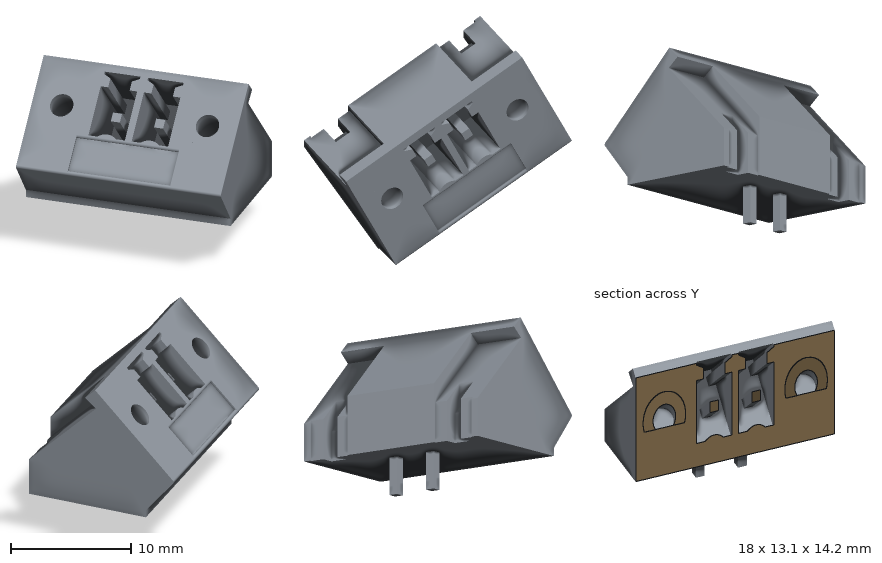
import cadquery as cq
import math


WIDTH = 18.01
RIDGE_HEIGHT = 11.0
BACK_HEIGHT = 5.0
RIDGE_Y = -(RIDGE_HEIGHT - BACK_HEIGHT)
NOSE_HEIGHT = 3.84
NOSE_Y = RIDGE_Y - (RIDGE_HEIGHT - NOSE_HEIGHT)
BASE_DEPTH = 10.59
CHIN_HEIGHT = 0.67
NOSE_RADIUS = 0.2

CENTRE_WIDTH = 9.0
END_WIDTH = (WIDTH - CENTRE_WIDTH) / 2
END_X = (WIDTH - END_WIDTH) / 2
SHOULDER_DROP = 1.8
SHOULDER_TOP_Y = -5.08
SHOULDER_INNER_Y = -6.07
END_RIB_WIDTH = 0.61
BACK_RELIEF = 0.2
SLOT_WIDTH = 1.45
SLOT_DEPTH = 1.33
SLOT_UPPER_DEPTH = 1.95
SLOT_SILL_HEIGHT = 2.5

RECESS_START = 6.55
RECESS_DEPTH = NOSE_RADIUS

PITCH = 3.8
POCKET_WIDTH = 3.2
POCKET_DEPTH = 6.0
POCKET_END = 6.47
KEY_START = 0.7
KEY_LIP_WIDTH = 3.13
KEY_LIP_END = 0.92
KEY_NECK_WIDTH = 1.9
KEY_NECK_START = 1.22
POCKET_SHOULDER = 2.04
RIB_WIDTH = 1.62
RIB_HEIGHT = 0.3

PIN_SIZE = 0.8
PIN_TAIL_Y = -3.28
PIN_TAIL_LENGTH = 3.19
PIN_DOWN = 4.15
PIN_TIP_DEEP = 1.2

BUSHING_SPACING = 12.82
BUSHING_DOWN = 4.18
BUSHING_DIAMETER = 3.8
BUSHING_BORE = 2.0
BUSHING_LENGTH = 4.0

PIN_POSITIONS = (-PITCH / 2, PITCH / 2)
BUSHING_POSITIONS = (-BUSHING_SPACING / 2, BUSHING_SPACING / 2)

FACE = cq.Plane(origin=(0, RIDGE_Y, RIDGE_HEIGHT), xDir=(1, 0, 0), normal=(0, -1, 1))

NOSE_DOWN = (RIDGE_HEIGHT - NOSE_HEIGHT) * math.sqrt(2)
CHIN_ANGLE = math.atan2(NOSE_HEIGHT - CHIN_HEIGHT, -BASE_DEPTH - NOSE_Y)
NOSE_ANGLE = math.pi / 4 + CHIN_ANGLE
TANGENT_LENGTH = NOSE_RADIUS / math.tan(NOSE_ANGLE / 2)
LIP_DOWN = NOSE_DOWN - TANGENT_LENGTH
CHIN_TANGENT = (
    NOSE_Y + TANGENT_LENGTH * math.cos(CHIN_ANGLE),
    NOSE_HEIGHT - TANGENT_LENGTH * math.sin(CHIN_ANGLE),
)


def section_point(down, deep):
    """(Y, Z) of a point given by its place on the front face."""
    return (
        RIDGE_Y + (deep - down) * math.sqrt(0.5),
        RIDGE_HEIGHT - (deep + down) * math.sqrt(0.5),
    )


def rear_outline(x):
    """Start of the housing outline, from the foot of the chin round the back to the ridge."""
    return (
        cq.Workplane("YZ", origin=(x, 0, 0))
        .moveTo(-BASE_DEPTH, CHIN_HEIGHT)
        .lineTo(-BASE_DEPTH, 0)
        .lineTo(0, 0)
        .lineTo(0, BACK_HEIGHT)
        .lineTo(RIDGE_Y, RIDGE_HEIGHT)
    )


def housing_end(side):
    """End prism with a flat front face and a rounded nose."""
    half_turn = (math.pi - NOSE_ANGLE) / 2
    nose_middle = section_point(
        LIP_DOWN + NOSE_RADIUS * math.sin(half_turn),
        NOSE_RADIUS * (1 - math.cos(half_turn)),
    )
    return (
        rear_outline(side * END_X)
        .lineTo(*section_point(LIP_DOWN, 0))
        .threePointArc(nose_middle, CHIN_TANGENT)
        .close()
        .extrude(END_WIDTH / 2, both=True)
    )


def housing_middle():
    """Middle prism whose front recess is rounded over its full depth at both edges."""
    depth = RECESS_DEPTH
    arc_offset = depth * math.sqrt(0.5)
    return (
        rear_outline(0)
        .lineTo(*section_point(RECESS_START, 0))
        .threePointArc(
            section_point(RECESS_START + arc_offset, depth - arc_offset),
            section_point(RECESS_START + depth, depth),
        )
        .lineTo(*section_point(LIP_DOWN - depth, depth))
        .threePointArc(section_point(LIP_DOWN, 0), CHIN_TANGENT)
        .close()
        .extrude(CENTRE_WIDTH / 2, both=True)
    )


def roof_shoulder(side):
    """Wedge removed from the roof at one end."""
    lowered_back = BACK_HEIGHT - SHOULDER_DROP
    return (
        cq.Workplane("YZ", origin=(side * END_X, 0, 0))
        .polyline([
            (0, lowered_back),
            (0, BACK_HEIGHT),
            (SHOULDER_TOP_Y, BACK_HEIGHT - SHOULDER_TOP_Y),
            (SHOULDER_INNER_Y, lowered_back - SHOULDER_INNER_Y),
        ])
        .close()
        .extrude(END_WIDTH / 2, both=True)
    )


def back_relief(side):
    """Shallow step of the back wall between the middle block and an end rib."""
    relief_width = END_WIDTH - END_RIB_WIDTH
    relief_x = side * (CENTRE_WIDTH + relief_width) / 2
    return (
        cq.Workplane("XY", origin=(relief_x, 0, 0))
        .rect(relief_width, 2 * BACK_RELIEF)
        .extrude(RIDGE_HEIGHT)
    )


def back_slot(x):
    """Slot behind a bushing: full height, and deeper above a sill that slopes at 45 degrees."""
    sill_rise = SLOT_UPPER_DEPTH - SLOT_DEPTH
    return (
        cq.Workplane("YZ", origin=(x, 0, 0))
        .polyline([
            (0, 0),
            (-SLOT_DEPTH, 0),
            (-SLOT_DEPTH, SLOT_SILL_HEIGHT),
            (-SLOT_UPPER_DEPTH, SLOT_SILL_HEIGHT + sill_rise),
            (-SLOT_UPPER_DEPTH, RIDGE_HEIGHT),
            (0, RIDGE_HEIGHT),
        ])
        .close()
        .extrude(SLOT_WIDTH / 2, both=True)
    )


def contact_pocket(x):
    """Pocket with a T-shaped key slot at the top and a rounded rib along its lower wall."""
    half = POCKET_WIDTH / 2
    neck = KEY_NECK_WIDTH / 2
    lip = KEY_LIP_WIDTH / 2
    rib = RIB_WIDTH / 2
    return (
        cq.Workplane(FACE)
        .center(x, 0)
        .moveTo(-lip, -KEY_START)
        .lineTo(lip, -KEY_START)
        .lineTo(lip, -KEY_LIP_END)
        .lineTo(neck, -KEY_NECK_START)
        .lineTo(neck, -POCKET_SHOULDER)
        .lineTo(half, -POCKET_SHOULDER)
        .lineTo(half, -POCKET_END)
        .lineTo(rib, -POCKET_END)
        .threePointArc((0, -POCKET_END + RIB_HEIGHT), (-rib, -POCKET_END))
        .lineTo(-half, -POCKET_END)
        .lineTo(-half, -POCKET_SHOULDER)
        .lineTo(-neck, -POCKET_SHOULDER)
        .lineTo(-neck, -KEY_NECK_START)
        .lineTo(-lip, -KEY_LIP_END)
        .close()
        .extrude(-POCKET_DEPTH)
    )


def contact_pin(x):
    """Square pin: a vertical tail, mitred into a 45 degree blade square to the front face."""
    half = PIN_SIZE / 2
    tail_front = PIN_TAIL_Y - half
    tail_back = PIN_TAIL_Y + half

    upper_tip = section_point(PIN_DOWN - half, PIN_TIP_DEEP)
    lower_tip = section_point(PIN_DOWN + half, PIN_TIP_DEEP)
    upper_bend = (tail_back, upper_tip[1] + upper_tip[0] - tail_back)
    lower_bend = (tail_front, lower_tip[1] + lower_tip[0] - tail_front)
    return (
        cq.Workplane("YZ", origin=(x, 0, 0))
        .polyline([
            (tail_back, -PIN_TAIL_LENGTH),
            upper_bend,
            upper_tip,
            lower_tip,
            lower_bend,
            (tail_front, -PIN_TAIL_LENGTH),
        ])
        .close()
        .extrude(half, both=True)
    )


def bushing_cylinder(x, diameter):
    """Cylinder of bushing length, sunk square into the front face."""
    return (
        cq.Workplane(FACE)
        .center(x, -BUSHING_DOWN)
        .circle(diameter / 2)
        .extrude(-BUSHING_LENGTH)
    )


def flange_bushing(x):
    return bushing_cylinder(x, BUSHING_DIAMETER).cut(bushing_cylinder(x, BUSHING_BORE))


pins = [contact_pin(x) for x in PIN_POSITIONS]
bushings = [flange_bushing(x) for x in BUSHING_POSITIONS]

housing = housing_middle().union(housing_end(-1)).union(housing_end(1))
for side in (-1, 1):
    housing = housing.cut(roof_shoulder(side)).cut(back_relief(side))
for x in BUSHING_POSITIONS:
    housing = housing.cut(back_slot(x)).cut(bushing_cylinder(x, BUSHING_DIAMETER))
for x in PIN_POSITIONS:
    housing = housing.cut(contact_pocket(x))
for pin in pins:
    housing = housing.cut(pin)
result = cq.Compound.makeCompound([
    housing.val(),
    *[pin.val() for pin in pins],
    *[bushing.val() for bushing in bushings],
])